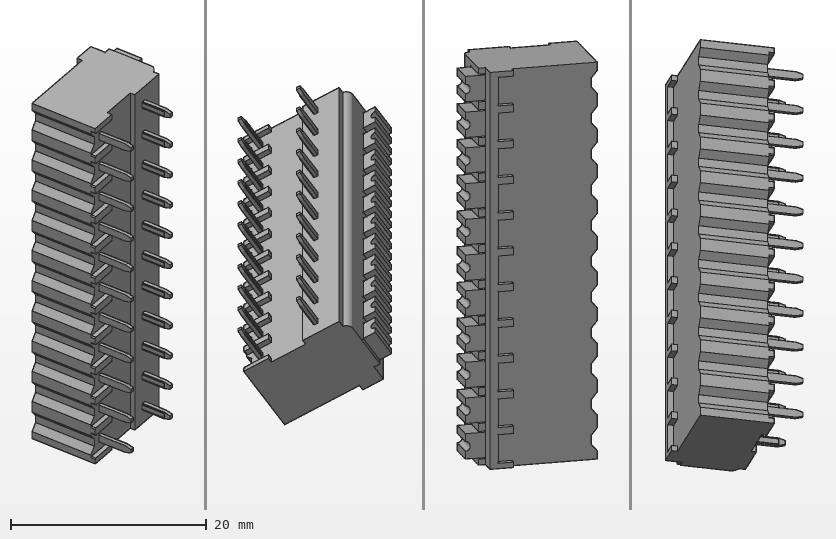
import cadquery as cq

pole_count = 11
pitch = 3.8
height = 42.3
first_pole_z = (height - (pole_count - 1) * pitch) / 2
pole_levels = [first_pole_z + i * pitch for i in range(pole_count)]

wall_x = 0.65
foot_x = 8.45
recess_x = 7.9
shoulder_y = 11.55
rear_y = 12.25
rear_start_x = 1.78
rear_end_x = 7.75
rear_corner_x = 7.05
rear_corner_radius = 0.85
front_foot_depth = 3.0
rear_foot_y = 7.15

lip_bottom_y = 10.65
tongue_bottom_y = 9.05
tongue_gap = 3.05

groove_depth = 0.65
groove_width = 2.45
groove_floor_width = 0.95

foot_gap = 2.88
foot_gap_chamfer = 0.13

tab_end_x = 4.9
tab_end_y = 13.65
tab_height = 2.7
notch_radius = 0.5
tab_clearance = 0.13

pin_end_x = 11.9
pin_taper_x = 11.15
pin_width = 0.85
pin_tip_width = 0.42
pin_thickness = 0.42
pad_thickness = 0.1
pad_width = 0.6
pin_root = 0.85
front_pin_y = 1.5
rear_pin_y = 8.95


def box(x_range, y_range, z_range):
    """Axis-aligned block between pairs of limits."""
    size = [b - a for a, b in (x_range, y_range, z_range)]
    corner = (x_range[0], y_range[0], z_range[0])
    return cq.Workplane("XY").box(*size, centered=False).translate(corner)


def band(center, width):
    """Limits of a span centred on a pole."""
    return (center - width / 2, center + width / 2)


def make_housing():
    """Constant cross-section running the full height."""
    return (
        cq.Workplane("XY")
        .moveTo(wall_x, 0)
        .lineTo(foot_x, 0)
        .lineTo(foot_x, front_foot_depth)
        .lineTo(recess_x, front_foot_depth)
        .lineTo(recess_x, rear_foot_y)
        .lineTo(foot_x, rear_foot_y)
        .lineTo(foot_x, shoulder_y)
        .lineTo(rear_end_x, shoulder_y)
        .radiusArc((rear_corner_x, rear_y), -rear_corner_radius)
        .lineTo(rear_start_x, rear_y)
        .lineTo(rear_start_x, shoulder_y)
        .lineTo(0, shoulder_y)
        .lineTo(0, tongue_bottom_y)
        .lineTo(wall_x, tongue_bottom_y)
        .close()
        .extrude(height)
    )


def make_groove(z):
    """Trapezoidal cutter, widest at the -Y face."""
    return (
        cq.Workplane("YZ")
        .moveTo(0, z - groove_width / 2)
        .lineTo(groove_depth, z - groove_floor_width / 2)
        .lineTo(groove_depth, z + groove_floor_width / 2)
        .lineTo(0, z + groove_width / 2)
        .close()
        .extrude(foot_x)
    )


def make_foot_gap(z):
    """Cutter for the front foot, with a chamfered mouth at the -Y face."""
    half = foot_gap / 2
    mouth_half = half + foot_gap_chamfer
    return (
        cq.Workplane("YZ", origin=(recess_x, 0, z))
        .moveTo(0, -mouth_half)
        .lineTo(foot_gap_chamfer, -half)
        .lineTo(front_foot_depth, -half)
        .lineTo(front_foot_depth, half)
        .lineTo(foot_gap_chamfer, half)
        .lineTo(0, mouth_half)
        .close()
        .extrude(foot_x - recess_x)
    )


def make_tongue_gap(z):
    """Opening between two tongues below the lip."""
    return box((0, wall_x), (tongue_bottom_y, lip_bottom_y), band(z, tongue_gap))


def make_tab_seat(z):
    """Recess in the raised rear section that leaves a slot on both sides of a tab."""
    return box((rear_start_x, tab_end_x), (shoulder_y, rear_y), band(z, tab_height + 2 * tab_clearance))


def make_tab(z):
    """Block with a round notch in the middle of its +Y edge."""
    tab = box((rear_start_x, tab_end_x), (shoulder_y, tab_end_y), band(z, tab_height))
    notch = cq.Workplane("YZ").center(tab_end_y, z).circle(notch_radius).extrude(foot_x)
    return tab.cut(notch)


def make_pin(z, outer_y, inward):
    """Flat pin with a tapered tip and an inner strip; inward is +1 or -1 along Y."""
    half = pin_width / 2
    tip = pin_tip_width / 2
    root_x = recess_x - pin_root
    inner_y = outer_y + inward * pin_thickness
    pad_y = inner_y + inward * pad_thickness
    blade = (
        cq.Workplane("XZ", origin=(0, outer_y, z))
        .moveTo(root_x, -half)
        .lineTo(pin_taper_x, -half)
        .lineTo(pin_end_x, -tip)
        .lineTo(pin_end_x, tip)
        .lineTo(pin_taper_x, half)
        .lineTo(root_x, half)
        .close()
        .extrude(-inward * pin_thickness)
    )
    pad = box((root_x, pin_taper_x), sorted((inner_y, pad_y)), band(z, pad_width))
    return blade.union(pad)


result = make_housing()
for pole_z in pole_levels:
    for make_cutter in (make_groove, make_foot_gap, make_tongue_gap, make_tab_seat):
        result = result.cut(make_cutter(pole_z))
    result = result.union(make_tab(pole_z))
    result = result.union(make_pin(pole_z, front_pin_y, 1))
    result = result.union(make_pin(pole_z, rear_pin_y, -1))